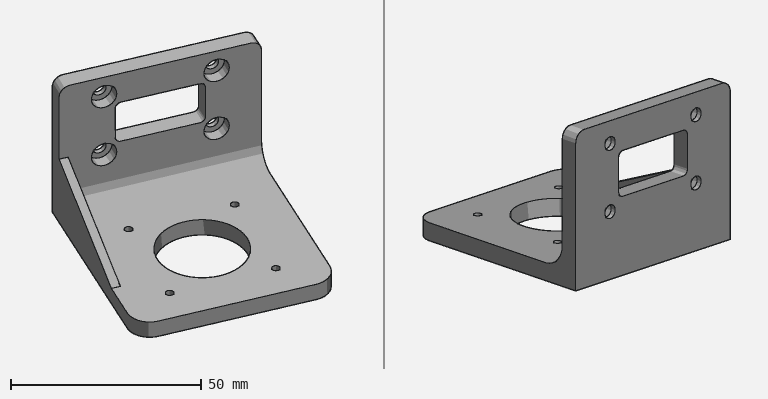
import cadquery as cq

length = 60.95
width = 57.2
height = 44.45

thickness = 5.05
base_corner_radius = 6.35
wall_corner_radius = 3.2
inner_fillet_radius = 6.35

rib_thickness = 2.55
rib_top = 20.9
rib_end = 43.15

bore_diameter = 25.4
bore_x = 35.55
base_hole_diameter = 2.25
base_hole_pitch = 30.0

window_width = 25.4
window_height = 12.8
window_corner_radius = 1.6
window_z = 28.5
wall_hole_diameter = 3.8
counterbore_diameter = 7.15
counterbore_depth = 3.55
wall_hole_pitch_y = 31.75
wall_hole_pitch_z = 19.1


def angle_body():
    """L-shaped body, open at both ends, with a filleted inside corner."""
    body = (
        cq.Workplane("XZ")
        .polyline([
            (0, 0),
            (length, 0),
            (length, thickness),
            (thickness, thickness),
            (thickness, height),
            (0, height),
        ])
        .close()
        .extrude(width / 2, both=True)
    )
    inside_corner = cq.selectors.NearestToPointSelector((thickness, 0, thickness))
    body = body.edges(inside_corner).fillet(inner_fillet_radius)
    body = body.faces(">X").edges("|Z").fillet(base_corner_radius)
    return body.faces(">Z").edges("|X").fillet(wall_corner_radius)


def side_rib():
    """Sloped rib flush with the -Y side, joining the wall to the base."""
    return (
        cq.Workplane("XZ", origin=(0, -width / 2, 0))
        .polyline([
            (0, 0),
            (rib_end, 0),
            (rib_end, thickness),
            (thickness, rib_top),
            (0, rib_top),
        ])
        .close()
        .extrude(-rib_thickness)
    )


def base_openings():
    """Cutters for the bore and the four holes around it."""
    plane = cq.Workplane("XY", origin=(bore_x, 0, 0))
    bore = plane.circle(bore_diameter / 2).extrude(thickness)
    holes = (
        plane.rect(base_hole_pitch, base_hole_pitch, forConstruction=True)
        .vertices()
        .circle(base_hole_diameter / 2)
        .extrude(thickness)
    )
    return bore.union(holes)


def wall_openings():
    """Cutters for the rounded window and four holes counterbored from the inner face."""
    plane = cq.Workplane("YZ", origin=(0, 0, window_z))
    window = (
        plane.rect(window_width, window_height)
        .extrude(thickness)
        .edges("|X")
        .fillet(window_corner_radius)
    )
    holes = (
        plane.rect(wall_hole_pitch_y, wall_hole_pitch_z, forConstruction=True)
        .vertices()
        .circle(wall_hole_diameter / 2)
        .extrude(thickness)
    )
    counterbores = (
        plane.workplane(offset=thickness - counterbore_depth)
        .rect(wall_hole_pitch_y, wall_hole_pitch_z, forConstruction=True)
        .vertices()
        .circle(counterbore_diameter / 2)
        .extrude(counterbore_depth)
    )
    return window.union(holes).union(counterbores)


result = angle_body().union(side_rib()).cut(base_openings()).cut(wall_openings())